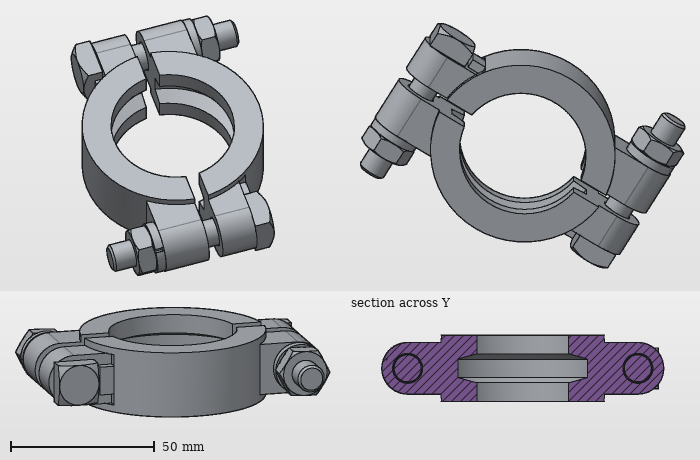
import math

import cadquery as cq


ring_height = 23.11
ring_outer_radius = 32.77
ring_bore_radius = 22.65
ring_centre_offset = 1.27
half_gap = 2.45

groove_mouth_height = 10.0
groove_depth = 5.1
groove_flank_angle = 20.0
groove_floor_height = groove_mouth_height - 2 * groove_depth * math.tan(math.radians(groove_flank_angle))

overall_width = 98.42
ear_height = 18.06
nut_ear_face = 18.2
head_ear_face = 15.0
bolt_hole_diameter = 10.29

stop_outer_x = 31.6
stop_inner_x = 26.4
stop_height = 10.0

bolt_diameter = 9.53
bolt_tip_y = 71.69 / 2
bolt_tip_chamfer = 0.8
head_width = 14.29
head_height = 6.9
head_chamfer_radius = 7.1

washer_diameter = 17.6
washer_thickness = 3.05
washer_split_width = 1.2
washer_split_angle = 135.0
nut_width = 15.875
nut_height = 6.45
nut_chamfer_radius = 7.85
nut_turn = 2.5
corner_chamfer_angle = 30.0
nut_sides = 6
nut_corner_radius = nut_width / 2 / math.cos(math.pi / nut_sides)

bolt_x = overall_width / 2 - nut_corner_radius * math.cos(math.radians(nut_turn))


def section_at(x, y):
    """XZ workplane at (x, y); extruding it grows the shape toward -Y."""
    return cq.Workplane("XZ", origin=(x, y, 0))


def rod(x, y_low, y_high, diameter):
    """Cylinder along Y between two Y positions."""
    return section_at(x, y_high).circle(diameter / 2).extrude(y_high - y_low)


def box_between(x_low, x_high, y_low, y_high, height):
    """Box centred on Z = 0."""
    middle = ((x_low + x_high) / 2, (y_low + y_high) / 2, 0)
    return cq.Workplane("XY", origin=middle).box(x_high - x_low, y_high - y_low, height)


def ear(side, outer_face):
    """Ear on one side (-1 or 1) of the half with positive Y, rounded about the bolt axis."""
    tip = rod(side * bolt_x, half_gap, outer_face, ear_height)
    inner_x = side * stop_inner_x
    outer_x = side * bolt_x
    body = box_between(min(inner_x, outer_x), max(inner_x, outer_x), half_gap, outer_face, ear_height)
    return tip.union(body)


def ring_opening():
    """Bore and tapered groove as one revolved cutter."""
    floor_radius = ring_bore_radius + groove_depth
    return (
        cq.Workplane("XZ")
        .moveTo(0, -ring_height / 2)
        .lineTo(ring_bore_radius, -ring_height / 2)
        .lineTo(ring_bore_radius, -groove_mouth_height / 2)
        .lineTo(floor_radius, -groove_floor_height / 2)
        .lineTo(floor_radius, groove_floor_height / 2)
        .lineTo(ring_bore_radius, groove_mouth_height / 2)
        .lineTo(ring_bore_radius, ring_height / 2)
        .lineTo(0, ring_height / 2)
        .close()
        .revolve(360, (0, 0, 0), (0, 1, 0))
        .translate((0, -ring_centre_offset, 0))
    )


def clamp_half():
    """Half ring on the +Y side: nut ear at -X, head ear at +X."""
    ring = (
        cq.Workplane("XY", origin=(0, -ring_centre_offset, 0))
        .circle(ring_outer_radius)
        .extrude(ring_height / 2, both=True)
    )
    kept_side = box_between(
        -ring_outer_radius, ring_outer_radius, half_gap, half_gap + ring_outer_radius, ring_height
    )
    half = ring.intersect(kept_side)

    head_seat = box_between(stop_inner_x, bolt_x, head_ear_face, nut_ear_face, ear_height)
    half = half.cut(head_seat)

    half = half.union(ear(-1, nut_ear_face)).union(ear(1, head_ear_face))
    stop = box_between(stop_inner_x, stop_outer_x, half_gap, nut_ear_face, stop_height)
    half = half.union(stop).cut(ring_opening())

    for side in (-1, 1):
        half = half.cut(rod(side * bolt_x, half_gap, nut_ear_face, bolt_hole_diameter))
    return half


def corner_cone(y_face, direction, face_radius, length):
    """Cone frustum along Y that trims polygon corners; narrow end at y_face, widening along direction."""
    wide_radius = face_radius + length / math.tan(math.radians(corner_chamfer_angle))
    base = cq.Vector(-bolt_x, y_face, 0)
    cone = cq.Solid.makeCone(face_radius, wide_radius, length, base, cq.Vector(0, direction, 0))
    return cq.Workplane(cone)


def bolt():
    """Square-head bolt on the -X side, head toward -Y."""
    shank = rod(-bolt_x, -head_ear_face, bolt_tip_y, bolt_diameter)
    shank = shank.faces(">Y").chamfer(bolt_tip_chamfer)
    head = section_at(-bolt_x, -head_ear_face).rect(head_width, head_width).extrude(head_height)
    head_end = -head_ear_face - head_height
    head = head.intersect(corner_cone(head_end, 1, head_chamfer_radius, head_height))
    return shank.union(head)


def washer(is_split):
    """Washer against the nut ear, with a radial slit if it is split."""
    outer_face = nut_ear_face + washer_thickness
    disc = rod(-bolt_x, nut_ear_face, outer_face, washer_diameter)
    disc = disc.cut(rod(-bolt_x, nut_ear_face, outer_face, bolt_diameter))
    if is_split:
        slit = (
            section_at(-bolt_x, outer_face)
            .transformed(rotate=(0, 0, washer_split_angle))
            .center(washer_diameter / 2, 0)
            .rect(washer_diameter, washer_split_width)
            .extrude(washer_thickness)
        )
        disc = disc.cut(slit)
    return disc


def nut(turn):
    """Hex nut with corners chamfered on both ends."""
    inner_face = nut_ear_face + washer_thickness
    outer_face = inner_face + nut_height
    body = (
        section_at(-bolt_x, outer_face)
        .transformed(rotate=(0, 0, turn))
        .polygon(nut_sides, 2 * nut_corner_radius)
        .extrude(nut_height)
    )
    body = body.intersect(corner_cone(outer_face, -1, nut_chamfer_radius, nut_height))
    return body.intersect(corner_cone(inner_face, 1, nut_chamfer_radius, nut_height))


def fastener(turn, is_split):
    """Bolt, washer and nut joined together."""
    return bolt().union(washer(is_split)).union(nut(turn))


def opposite(shape):
    """The shape turned half a turn about Z."""
    return shape.rotate((0, 0, 0), (0, 0, 1), 180)


half_clamp = clamp_half()
result = (
    half_clamp
    .union(opposite(half_clamp))
    .union(fastener(-nut_turn, False))
    .union(opposite(fastener(nut_turn, True)))
)